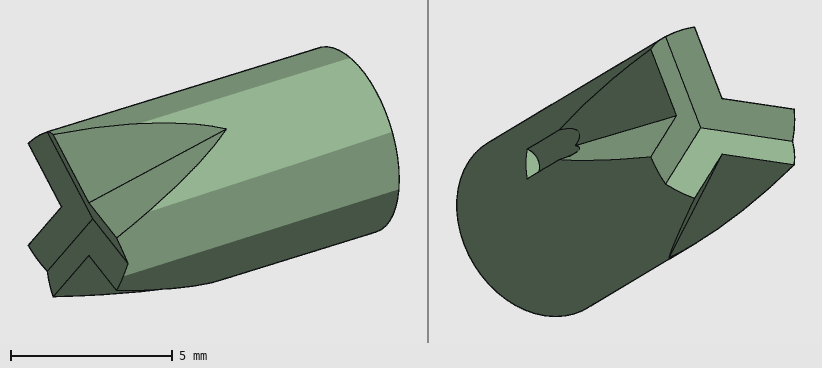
import cadquery as cq
import math

body_radius = 3.0
apex_depth = 9.38
body_tilt = 11.5
facet_angle = 20.5
arm_spread = 120.0
arm_half_width = 1.0
slot_radius = 0.5
slot_start = 4.0

cut_reach = 2 * body_radius
blank_length = apex_depth + body_radius


def rear_arm(side):
    """Centre line of the upper (side = 1) or lower (side = -1) rear arm, from the hollow centre."""
    spread = math.radians(arm_spread)
    slope = math.radians(facet_angle)
    return cq.Vector(
        math.cos(spread),
        -math.sin(spread) * math.sin(slope),
        side * math.sin(spread) * math.cos(slope),
    )


front_arm = cq.Vector(1, 0, 0)
upper_arm = rear_arm(1)
lower_arm = rear_arm(-1)


def tilt_with_body(shape):
    return shape.rotate((0, 0, 0), (0, 0, 1), body_tilt)


def make_body():
    """Round bar with its tip toward -Y and the hollow tip centre at the origin."""
    bar = cq.Workplane("XZ", origin=(0, apex_depth, 0)).circle(body_radius).extrude(blank_length)
    return tilt_with_body(bar)


def sector_prism(arm_a, arm_b, wall_offset, depth):
    """Wedge between two arms, square to their common facet; positive depth runs forward.

    Its sides lie parallel to the arm centre lines, at wall_offset from them.
    """
    half_angle = arm_a.getAngle(arm_b) / 2
    facet = cq.Plane(origin=(0, 0, 0), xDir=arm_a + arm_b, normal=arm_a.cross(arm_b))
    corner_x = wall_offset / math.sin(half_angle)
    half_width = cut_reach * math.tan(half_angle)
    return (
        cq.Workplane(facet)
        .moveTo(corner_x, 0)
        .lineTo(corner_x + cut_reach, -half_width)
        .lineTo(corner_x + cut_reach, half_width)
        .close()
        .extrude(depth)
    )


def cut_sector(part, arm_a, arm_b):
    """Cut the tip facet between two arms and the flute behind it."""
    part = part.cut(sector_prism(arm_a, arm_b, 0, cut_reach))
    return part.cut(sector_prism(arm_a, arm_b, arm_half_width, -blank_length))


def cut_side_slot(part):
    """Round-bottomed slot along the -X side, running forward into the flute there."""
    slot = (
        cq.Workplane("XZ", origin=(-body_radius, apex_depth - slot_start, 0))
        .circle(slot_radius)
        .extrude(blank_length - slot_start)
    )
    return part.cut(tilt_with_body(slot))


result = make_body()
for first_arm, second_arm in (
    (front_arm, upper_arm),
    (upper_arm, lower_arm),
    (lower_arm, front_arm),
):
    result = cut_sector(result, first_arm, second_arm)
result = cut_side_slot(result)